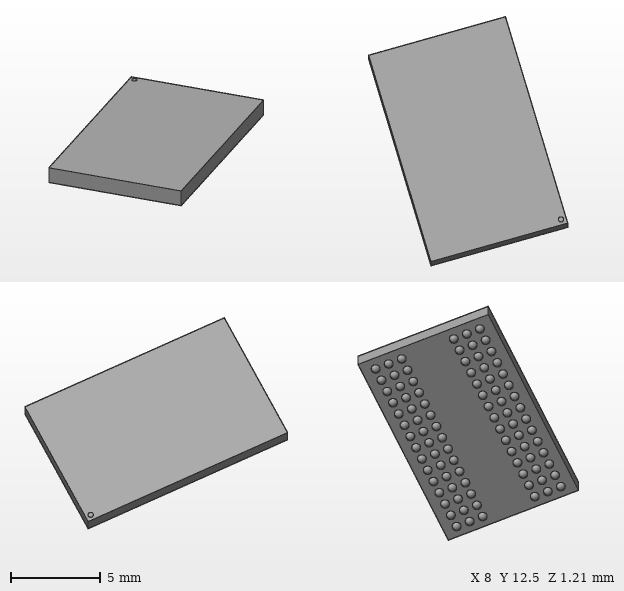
import cadquery as cq

body_width = 8.0
body_length = 12.5
total_height = 1.21
ball_drop = 0.28

ball_diameter = 0.5
ball_pitch = 0.8
ball_rows = 15
bank_columns = (2, 3, 4)

mark_diameter = 0.3
mark_inset = 0.31
mark_height = 0.01

body_height = total_height - ball_drop - mark_height


def make_body():
    return cq.Workplane("XY").box(
        body_width, body_length, body_height, centered=(True, True, False)
    )


def ball_centres():
    columns = [side * step * ball_pitch for side in (-1, 1) for step in bank_columns]
    rows = [(row - (ball_rows - 1) / 2) * ball_pitch for row in range(ball_rows)]
    return [(x, y) for x in columns for y in rows]


def make_balls():
    """Balls that sink partly into the underside of the body."""
    radius = ball_diameter / 2
    ball_level = radius - ball_drop
    return (
        cq.Workplane("XY")
        .workplane(offset=ball_level)
        .pushPoints(ball_centres())
        .sphere(radius, combine=False)
    )


def make_pin_one_mark():
    return (
        cq.Workplane("XY")
        .workplane(offset=body_height)
        .center(mark_inset - body_width / 2, body_length / 2 - mark_inset)
        .circle(mark_diameter / 2)
        .extrude(mark_height)
    )


result = make_body().union(make_balls()).union(make_pin_one_mark())